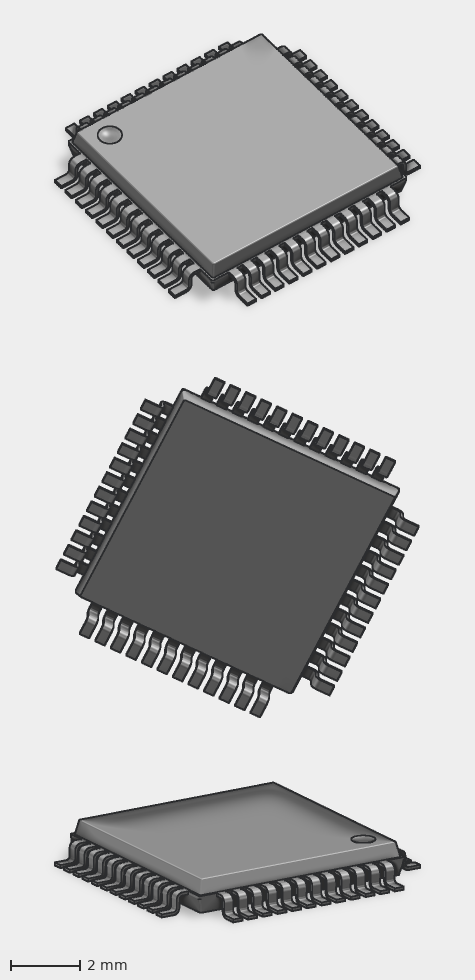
import cadquery as cq
import math

SPAN = 8.8
HEIGHT = 1.1
STANDOFF = 0.1

BODY_WIDTH = 7.0
SHOULDER_WIDTH = 6.84
TOP_WIDTH = 6.64
BOTTOM_WIDTH = 6.785
CORNER_RADIUS = 0.05

LEADS_PER_SIDE = 12
LEAD_ROW = 5.5
PITCH = LEAD_ROW / (LEADS_PER_SIDE - 1)
LEAD_WIDTH = 0.31
LEAD_THICKNESS = 0.1
INNER_BEND = 0.11
OUTER_BEND = INNER_BEND + LEAD_THICKNESS
FOOT_LENGTH = 0.4
LEAD_EMBED = 0.09

DIMPLE_RADIUS = 0.35
DIMPLE_DEPTH = 0.12
DIMPLE_OFFSET = 2.63

LEAD_TOP = (STANDOFF + HEIGHT + LEAD_THICKNESS) / 2
LEAD_BOTTOM = LEAD_TOP - LEAD_THICKNESS


def rounded_block(wide_z, wide_width, narrow_z, narrow_width):
    """Square block narrowing from one level to another, up or down, with its corners rounded."""
    rise = narrow_z - wide_z
    taper = math.degrees(math.atan((wide_width - narrow_width) / 2 / abs(rise)))
    block = cq.Workplane("XY").workplane(offset=wide_z).rect(wide_width, wide_width).extrude(rise, taper=taper)
    return block.edges("not #Z").fillet(CORNER_RADIUS)


def make_body():
    """Lower half, flange at lead level and set-in upper half with a rounded top rim."""
    lower = rounded_block(LEAD_BOTTOM, BODY_WIDTH, STANDOFF, BOTTOM_WIDTH)
    flange = rounded_block(LEAD_BOTTOM, BODY_WIDTH, LEAD_TOP, BODY_WIDTH)
    upper = rounded_block(LEAD_TOP, SHOULDER_WIDTH, HEIGHT, TOP_WIDTH)
    upper = upper.faces(">Z").edges().fillet(CORNER_RADIUS)
    return lower.union(flange).union(upper)


def cut_dimple(body):
    """Pin 1 mark sunk into the top face."""
    sphere_radius = (DIMPLE_RADIUS**2 + DIMPLE_DEPTH**2) / (2 * DIMPLE_DEPTH)
    centre_z = HEIGHT - DIMPLE_DEPTH + sphere_radius
    ball = cq.Workplane("XY").sphere(sphere_radius)
    return body.cut(ball.translate((-DIMPLE_OFFSET, -DIMPLE_OFFSET, centre_z)))


def make_lead():
    """Gull-wing lead on the -X side, centred on Y = 0."""
    tip = -SPAN / 2
    foot_end = tip + FOOT_LENGTH
    shank_inner = foot_end + OUTER_BEND
    shank_outer = shank_inner - LEAD_THICKNESS
    arm_start = shank_outer + OUTER_BEND
    root = -BODY_WIDTH / 2 + LEAD_EMBED
    low_centre_z = OUTER_BEND
    high_centre_z = LEAD_TOP - OUTER_BEND

    def arc_middle(centre_x, centre_z, radius, side):
        """Middle of a bend arc: below and right of its centre (side 1) or above and left (side -1)."""
        reach = side * radius * math.sqrt(0.5)
        return centre_x + reach, centre_z - reach

    profile = (
        cq.Workplane("XZ")
        .moveTo(tip, 0)
        .lineTo(foot_end, 0)
        .threePointArc(arc_middle(foot_end, low_centre_z, OUTER_BEND, 1), (shank_inner, low_centre_z))
        .lineTo(shank_inner, high_centre_z)
        .threePointArc(arc_middle(arm_start, high_centre_z, INNER_BEND, -1), (arm_start, LEAD_BOTTOM))
        .lineTo(root, LEAD_BOTTOM)
        .lineTo(root, LEAD_TOP)
        .lineTo(arm_start, LEAD_TOP)
        .threePointArc(arc_middle(arm_start, high_centre_z, OUTER_BEND, -1), (shank_outer, high_centre_z))
        .lineTo(shank_outer, low_centre_z)
        .threePointArc(arc_middle(foot_end, low_centre_z, INNER_BEND, 1), (foot_end, LEAD_THICKNESS))
        .lineTo(tip, LEAD_THICKNESS)
        .close()
    )
    return profile.extrude(LEAD_WIDTH / 2, both=True)


def make_leads():
    """Evenly pitched leads on all four sides."""
    lead = make_lead()
    first = -LEAD_ROW / 2
    leads = []
    for side in range(4):
        for index in range(LEADS_PER_SIDE):
            shifted = lead.translate((0, first + index * PITCH, 0))
            leads.append(shifted.rotate((0, 0, 0), (0, 0, 1), 90 * side).val())
    return leads


body = cut_dimple(make_body())
result = cq.Workplane(body.val().fuse(*make_leads()).clean())